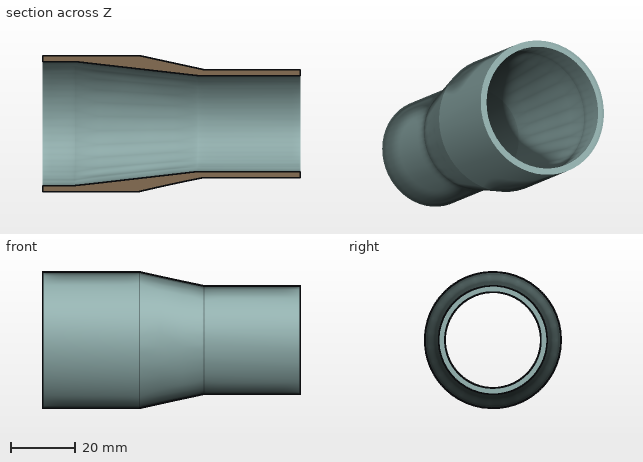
import cadquery as cq

total_length = 80.0
wide_diameter = 42.4
narrow_diameter = 33.7
wall = 2.0

outer_taper_start = 30.0
outer_taper_end = 50.0
bore_taper_start = 10.0
bore_taper_end = 48.0


def stepped_round(wide_radius, narrow_radius, taper_start, taper_end):
    """Solid of revolution about X: wide cylinder, cone, narrow cylinder."""
    half_profile = (
        cq.Workplane("XY")
        .moveTo(0, 0)
        .lineTo(0, wide_radius)
        .lineTo(taper_start, wide_radius)
        .lineTo(taper_end, narrow_radius)
        .lineTo(total_length, narrow_radius)
        .lineTo(total_length, 0)
        .close()
    )
    return half_profile.revolve(360, (0, 0, 0), (1, 0, 0))


outside = stepped_round(
    wide_diameter / 2,
    narrow_diameter / 2,
    outer_taper_start,
    outer_taper_end,
)
bore = stepped_round(
    wide_diameter / 2 - wall,
    narrow_diameter / 2 - wall,
    bore_taper_start,
    bore_taper_end,
)

result = outside.cut(bore)